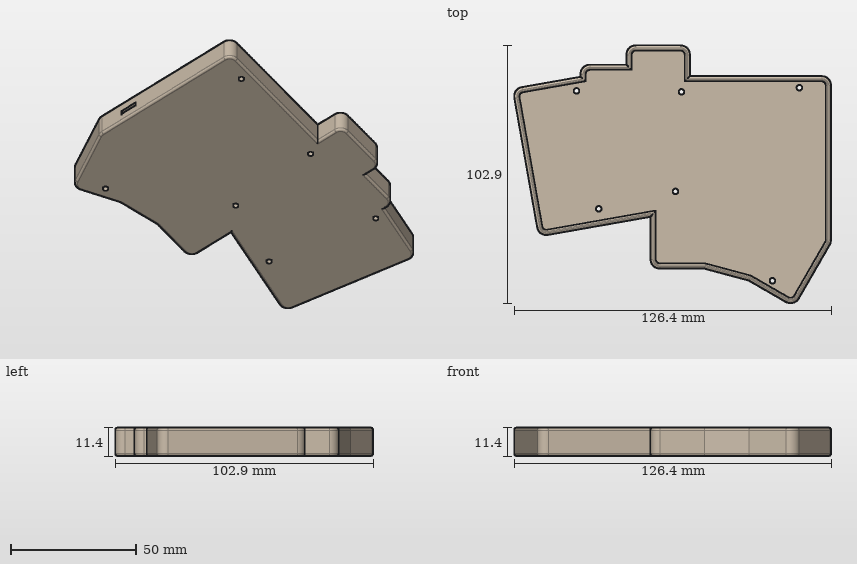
import cadquery as cq
import math

length = 126.4
width = 102.9
height = 11.4
wall = 2.1
floor = 3.0
corner_radius = 3.8
outer_edge_round = 1.0
inner_edge_round = 0.6

low_step_x = 26.4
high_step_x = 44.7
high_step_end_x = 70.2
low_step_y = 95.2
shoulder_y = 90.6

tilt = math.radians(10)
left_side_length = 59.9
left_corner_y = 85.6

notch_x = 54.4
near_y = 13.8
first_bend_x = 75.8
tip_x = 111.6
first_bend_angle = math.radians(15)
tip_angle = math.radians(30)

hole_diameter = 2.1
hole_centres = [
    (24.9, 84.7),
    (66.7, 84.3),
    (113.8, 86.0),
    (64.3, 44.6),
    (33.7, 37.7),
    (103.0, 9.0),
]

slot_y = 38.7
slot_length = 7.3
slot_bottom = 4.3
slot_height = 1.9
slot_edge_round = 0.5


def outline_points():
    """Sharp corners of the outer outline, clockwise from the upper left corner."""
    left_x = -corner_radius * (math.cos(tilt) + math.sin(tilt) - 1)
    low_left_x = left_x + left_side_length * math.sin(tilt)
    low_left_y = left_corner_y - left_side_length * math.cos(tilt)
    tip_y = -corner_radius * (math.cos(tip_angle) + math.sin(tip_angle) - 1)
    first_slope = math.tan(first_bend_angle)
    tip_slope = math.tan(tip_angle)
    drop = near_y - tip_y
    second_run = (drop - (tip_x - first_bend_x) * first_slope) / (tip_slope - first_slope)
    return [
        (left_x, left_corner_y),
        (low_step_x, left_corner_y + (low_step_x - left_x) * math.tan(tilt)),
        (low_step_x, low_step_y),
        (high_step_x, low_step_y),
        (high_step_x, width),
        (high_step_end_x, width),
        (high_step_end_x, shoulder_y),
        (length, shoulder_y),
        (length, tip_y + (length - tip_x) / tip_slope),
        (tip_x, tip_y),
        (tip_x - second_run, tip_y + second_run * tip_slope),
        (first_bend_x, near_y),
        (notch_x, near_y),
        (notch_x, low_left_y + (notch_x - low_left_x) * math.tan(tilt)),
        (low_left_x, low_left_y),
    ]


def is_convex(before, corner, after):
    """True where a clockwise outline turns right at the corner."""
    turn = (corner[0] - before[0]) * (after[1] - corner[1])
    turn -= (corner[1] - before[1]) * (after[0] - corner[0])
    return turn < 0


def inset_points(points, distance):
    """Move every edge of a clockwise outline inwards, keeping its corners sharp."""
    moved = []
    for i, (x, y) in enumerate(points):
        before = points[i - 1]
        after = points[(i + 1) % len(points)]
        heading_in = math.atan2(y - before[1], x - before[0])
        heading_out = math.atan2(after[1] - y, after[0] - x)
        inward = (heading_in + heading_out) / 2 - math.pi / 2
        reach = distance / math.cos((heading_out - heading_in) / 2)
        moved.append((x + reach * math.cos(inward), y + reach * math.sin(inward)))
    return moved


def rounded_prism(points, radius, bottom, top):
    """Prism over a clockwise outline, with its convex upright corners rounded."""
    prism = cq.Workplane("XY", origin=(0, 0, bottom)).polyline(points).close().extrude(top - bottom)
    for i, corner in enumerate(points):
        if is_convex(points[i - 1], corner, points[(i + 1) % len(points)]):
            middle = (*corner, (bottom + top) / 2)
            prism = prism.edges(cq.selectors.NearestToPointSelector(middle)).fillet(radius)
    return prism


def hollow_tray():
    """Open tray with its outer edges and the inner edge of its rim rounded."""
    outline = outline_points()
    block = rounded_prism(outline, corner_radius, 0, height)
    block = block.faces("<Z or >Z").edges().fillet(outer_edge_round)
    cavity = rounded_prism(inset_points(outline, wall), corner_radius - wall, floor, height)
    tray = block.cut(cavity)
    inner_loop = cq.selectors.LengthNthSelector(0)
    return tray.faces(">Z").wires(inner_loop).edges().fillet(inner_edge_round)


def cut_floor_holes(tray):
    holes = cq.Workplane("XY").pushPoints(hole_centres).circle(hole_diameter / 2).extrude(floor)
    return tray.cut(holes)


def cut_wall_slot(tray):
    """Cut the slot and round its mouth on the inner face of the right wall."""
    inner_face_x = length - wall
    slot = cq.Workplane("XY", origin=(inner_face_x, slot_y, slot_bottom)).box(
        wall, slot_length, slot_height, centered=(False, True, False)
    )
    reach = wall / 4
    mouth = cq.selectors.BoxSelector(
        (inner_face_x - reach, slot_y - slot_length, slot_bottom - slot_height),
        (inner_face_x + reach, slot_y + slot_length, slot_bottom + 2 * slot_height),
    )
    return tray.cut(slot).edges(mouth).fillet(slot_edge_round)


result = cut_wall_slot(cut_floor_holes(hollow_tray()))